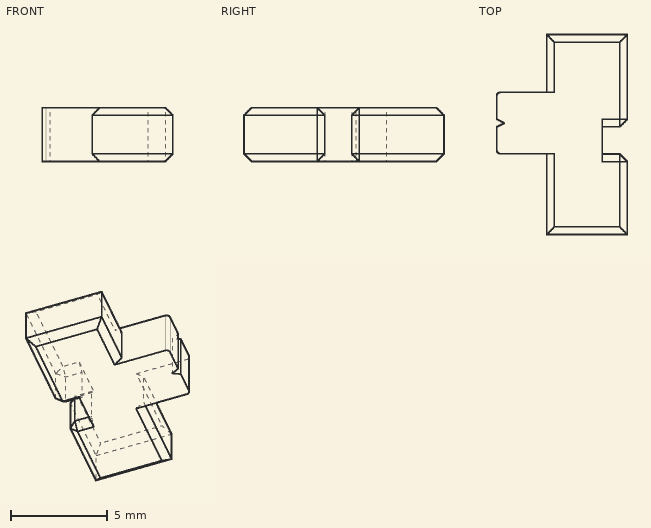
import cadquery as cq

length_x = 6.8
length_y = 10.4
thickness = 2.8
chamfer = 0.4

bar_width = 4.2

stem_width = 3.2
stem_setback = 3.0
stem_corner_radius = 0.2

groove_depth = 0.4
groove_width = 0.4

notch_depth = 1.3
notch_width = 1.4
notch_setback = 4.8

x_min = -length_x / 2
x_max = length_x / 2
y_max = length_y / 2
bar_x_min = x_max - bar_width
bar_x_center = x_max - bar_width / 2
stem_y = y_max - stem_setback - stem_width / 2
notch_y = y_max - notch_setback - notch_width / 2

pick_margin = 0.01


def make_crossbar():
    """Notched bar with its outer rims and the notch's side walls chamfered."""
    notch = cq.Workplane("XY").box(notch_depth, notch_width, thickness)
    notch = notch.translate((x_max - notch_depth / 2, notch_y, 0))
    bar = cq.Workplane("XY").box(bar_width, length_y, thickness)
    bar = bar.translate((bar_x_center, 0, 0)).cut(notch)

    floor_picker = cq.selectors.BoxSelector(
        (x_max - notch_depth - pick_margin, notch_y - pick_margin, -thickness),
        (x_max - notch_depth + pick_margin, notch_y + pick_margin, thickness),
    )
    floor_rims = bar.edges(floor_picker).vals()
    rims = bar.edges("|X or |Y").vals()
    rims = [e for e in rims if not any(e.isSame(rim) for rim in floor_rims)]

    mouth_picker = cq.selectors.BoxSelector(
        (x_max - pick_margin, notch_y - notch_width / 2 - pick_margin, -thickness),
        (x_max + pick_margin, notch_y + notch_width / 2 + pick_margin, thickness),
    )
    mouth_edges = bar.edges("|Z").edges(mouth_picker).vals()
    return bar.newObject(rims + mouth_edges).chamfer(chamfer)


def make_stem():
    """Full-thickness stem with rounded end corners and a V-groove."""
    stem_length = bar_x_min + chamfer - x_min
    stem = cq.Workplane("XY").box(stem_length, stem_width, thickness)
    stem = stem.translate((x_min + stem_length / 2, stem_y, 0))
    stem = stem.edges("|Z and <X").fillet(stem_corner_radius)
    groove = (
        cq.Workplane("XY")
        .moveTo(x_min, stem_y - groove_width / 2)
        .lineTo(x_min + groove_depth, stem_y)
        .lineTo(x_min, stem_y + groove_width / 2)
        .close()
        .extrude(thickness / 2, both=True)
    )
    return stem.cut(groove)


result = make_crossbar().union(make_stem()).clean()